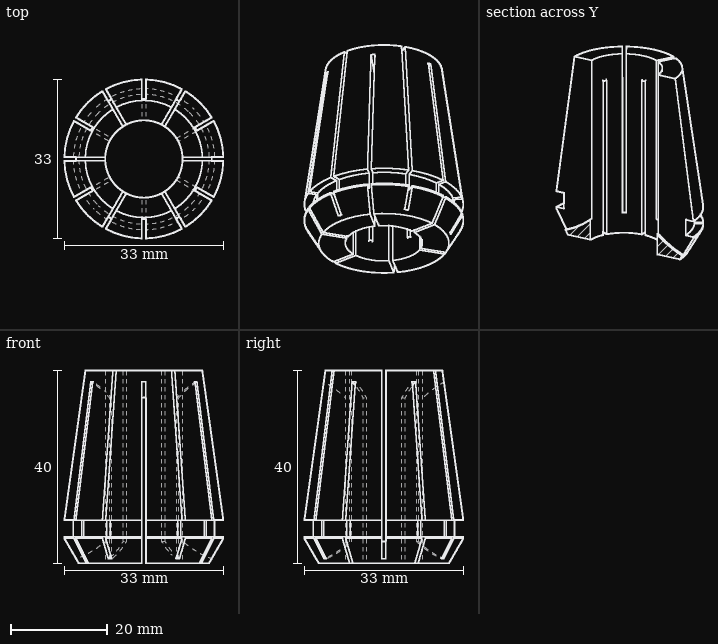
import cadquery as cq
import math

LENGTH = 40.0
MAX_RADIUS = 16.5
BORE_RADIUS = 8.0

TAPER_ANGLE = 8.0
TAPER_BASE_Z = 9.0

GROOVE_RADIUS = 14.65
GROOVE_BASE_Z = 5.5
RIM_HEIGHT = 0.3
NOSE_ANGLE = 30.0

SLOTS_PER_END = 6
SLOT_WIDTH = 0.8
BLADE_RADIUS = 20.0
NOSE_WEB_OUTSIDE = 1.0
NOSE_WEB_AT_BORE = 4.6
TOP_WEB_OUTSIDE = 2.3
TOP_WEB_AT_BORE = 5.65
CUT_OVERRUN = 1.0

TAPER_SLOPE = math.tan(math.radians(TAPER_ANGLE))
NOSE_SLOPE = math.tan(math.radians(NOSE_ANGLE))
RIM_BASE_Z = GROOVE_BASE_Z - RIM_HEIGHT
TOP_RADIUS = MAX_RADIUS - (LENGTH - TAPER_BASE_Z) * TAPER_SLOPE
NOSE_RADIUS = MAX_RADIUS - RIM_BASE_Z * NOSE_SLOPE


def collet_body():
    """Bored body of revolution with the taper, groove and nose."""
    profile = [
        (BORE_RADIUS, 0),
        (NOSE_RADIUS, 0),
        (MAX_RADIUS, RIM_BASE_Z),
        (MAX_RADIUS, GROOVE_BASE_Z),
        (GROOVE_RADIUS, GROOVE_BASE_Z),
        (GROOVE_RADIUS, TAPER_BASE_Z),
        (MAX_RADIUS, TAPER_BASE_Z),
        (TOP_RADIUS, LENGTH),
        (BORE_RADIUS, LENGTH),
    ]
    return cq.Workplane("XZ").polyline(profile).close().revolve(360, (0, 0), (0, 1))


def slot_cutter(web_outside, web_at_bore, outside_radius):
    """Slot along +X, open at the top, whose floor is an arc of the blade.

    The arc meets the outer surface at (outside_radius, web_outside)
    and the bore at (BORE_RADIUS, web_at_bore).
    """
    run = outside_radius - BORE_RADIUS
    rise = web_at_bore - web_outside
    chord = math.hypot(run, rise)
    chord_to_center = math.sqrt(BLADE_RADIUS**2 - (chord / 2) ** 2)
    center_x = (outside_radius + BORE_RADIUS) / 2 + chord_to_center * rise / chord
    center_z = (web_outside + web_at_bore) / 2 + chord_to_center * run / chord

    blade = cq.Workplane("XZ").center(center_x, center_z).circle(BLADE_RADIUS)
    blade = blade.extrude(SLOT_WIDTH / 2, both=True)

    inner_x = center_x - BLADE_RADIUS
    outer_x = MAX_RADIUS + CUT_OVERRUN
    open_end_z = LENGTH + CUT_OVERRUN
    run_out_outline = [
        (inner_x, center_z),
        (outer_x, center_z),
        (outer_x, open_end_z),
        (inner_x, open_end_z),
    ]
    run_out = cq.Workplane("XZ").polyline(run_out_outline).close()
    run_out = run_out.extrude(SLOT_WIDTH / 2, both=True)
    return blade.union(run_out)


def slot_from_top():
    """Slot open at the top, ending in the nose."""
    outside_radius = NOSE_RADIUS + NOSE_WEB_OUTSIDE * NOSE_SLOPE
    return slot_cutter(NOSE_WEB_OUTSIDE, NOSE_WEB_AT_BORE, outside_radius)


def slot_from_bottom():
    """Slot open at the nose, ending near the top: the same cut turned upside down."""
    outside_radius = TOP_RADIUS + TOP_WEB_OUTSIDE * TAPER_SLOPE
    cutter = slot_cutter(TOP_WEB_OUTSIDE, TOP_WEB_AT_BORE, outside_radius)
    return cutter.mirror("XY").translate((0, 0, LENGTH))


def cut_around(body, cutter, start_angle):
    """Cut equally spaced slots around the Z axis."""
    for index in range(SLOTS_PER_END):
        angle = start_angle + index * 360 / SLOTS_PER_END
        body = body.cut(cutter.rotate((0, 0, 0), (0, 0, 1), angle))
    return body


half_pitch = 180 / SLOTS_PER_END
result = collet_body()
result = cut_around(result, slot_from_top(), 0)
result = cut_around(result, slot_from_bottom(), half_pitch)